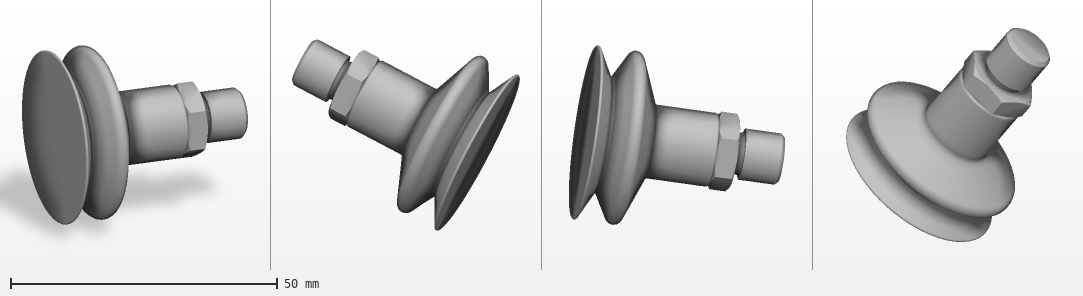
import cadquery as cq
import math


total_length = 37.5
sleeve_bottom = 12.5
sleeve_top = 24.5
hex_top = 28.5
stud_bottom = 30.0

stud_radius = 9.7 / 2
stud_chamfer = 0.65
neck_radius = 8.0 / 2
hex_across_flats = 13.0
hex_bevel = 0.5

sleeve_radius = 14.0 / 2
sleeve_top_round = 0.5
sleeve_root_round = 0.55
cup_radius = 16.5
lip_round = 0.28
waist_radius = 10.72
waist_height = 3.52
waist_round = 0.38
bulge_round = 1.4
bulge_height = 7.6


def rim_tangent_point(start, rim_height, rim_round, above):
    """Point where the line from start touches the round of a full-diameter rim."""
    center_radius = cup_radius - rim_round
    run = start[0] - center_radius
    rise = start[1] - rim_height
    turn = math.acos(rim_round / math.hypot(run, rise))
    angle = math.atan2(rise, run) + (-turn if above else turn)
    return (
        center_radius + rim_round * math.cos(angle),
        rim_height + rim_round * math.sin(angle),
    )


def ring_at(radius, height):
    """Selector for the circular edge of this radius at this height."""
    margin = 0.05
    reach = radius + margin
    return cq.selectors.BoxSelector(
        (-reach, height - margin, -reach),
        (reach, height + margin, reach),
        boundingbox=True,
    )


def make_cup():
    """Lip, waist, bulge and sleeve, revolved about Y."""
    waist = (waist_radius, waist_height)
    sleeve_root = (sleeve_radius, sleeve_bottom)
    lip_tangent = rim_tangent_point(waist, lip_round, lip_round, above=True)
    lower_tangent = rim_tangent_point(waist, bulge_height, bulge_round, above=False)
    upper_tangent = rim_tangent_point(sleeve_root, bulge_height, bulge_round, above=True)
    cup = (
        cq.Workplane("XY")
        .lineTo(cup_radius - lip_round, 0)
        .threePointArc((cup_radius, lip_round), lip_tangent)
        .lineTo(*waist)
        .lineTo(*lower_tangent)
        .threePointArc((cup_radius, bulge_height), upper_tangent)
        .lineTo(*sleeve_root)
        .lineTo(sleeve_radius, sleeve_top)
        .lineTo(0, sleeve_top)
        .close()
        .revolve(360, (0, 0, 0), (0, 1, 0))
    )
    cup = cup.edges(ring_at(*waist)).fillet(waist_round)
    cup = cup.edges(ring_at(*sleeve_root)).fillet(sleeve_root_round)
    return cup.edges(ring_at(sleeve_radius, sleeve_top)).fillet(sleeve_top_round)


def make_hexagon():
    """Hexagon with corners on the Z axis and conical bevels at both ends."""
    height = hex_top - sleeve_top
    corner_radius = hex_across_flats / math.sqrt(3)
    end_radius = hex_across_flats / 2
    corners = [
        (corner_radius * math.sin(math.radians(60 * i)), corner_radius * math.cos(math.radians(60 * i)))
        for i in range(6)
    ]
    prism = cq.Workplane("XZ", origin=(0, sleeve_top, 0)).polyline(corners).close().extrude(-height)
    bevel_envelope = (
        cq.Workplane("XY")
        .moveTo(0, sleeve_top)
        .lineTo(end_radius, sleeve_top)
        .lineTo(corner_radius, sleeve_top + hex_bevel)
        .lineTo(corner_radius, hex_top - hex_bevel)
        .lineTo(end_radius, hex_top)
        .lineTo(0, hex_top)
        .close()
        .revolve(360, (0, 0, 0), (0, 1, 0))
    )
    return prism.intersect(bevel_envelope)


def make_stud():
    """Undercut neck and the plain stud with its chamfered end."""
    neck = cq.Workplane("XZ", origin=(0, hex_top, 0)).circle(neck_radius).extrude(hex_top - stud_bottom)
    stud = (
        cq.Workplane("XZ", origin=(0, stud_bottom, 0))
        .circle(stud_radius)
        .extrude(stud_bottom - total_length)
        .faces(">Y")
        .chamfer(stud_chamfer)
    )
    return neck.union(stud)


result = make_cup().union(make_hexagon()).union(make_stud())